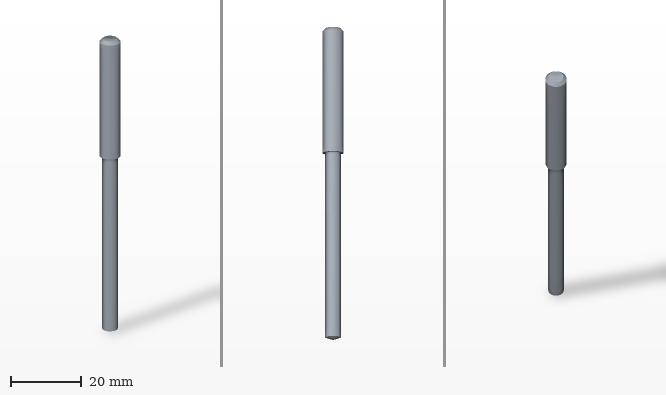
import cadquery as cq
import math

total_length = 90.0
shank_diameter = 6.0
shank_length = 36.0
shank_chamfer = 0.9
drill_diameter = 4.4
cutting_length = 36.7
point_angle = 140.0

shank_radius = shank_diameter / 2
drill_radius = drill_diameter / 2
shank_bottom = total_length - shank_length
point_height = drill_radius / math.tan(math.radians(point_angle / 2))


def make_cutting_part():
    """Cylindrical cutting envelope ending in a conical drill point."""
    half_profile = (
        cq.Workplane("XZ")
        .moveTo(0, 0)
        .lineTo(drill_radius, point_height)
        .lineTo(drill_radius, cutting_length)
        .lineTo(0, cutting_length)
        .close()
    )
    return half_profile.revolve(360, (0, 0), (0, 1))


def make_shank():
    """Neck of drill diameter below a thicker shank with a chamfered end."""
    neck = (
        cq.Workplane("XY")
        .workplane(offset=cutting_length)
        .circle(drill_radius)
        .extrude(shank_bottom - cutting_length)
    )
    grip = (
        cq.Workplane("XY")
        .workplane(offset=shank_bottom)
        .circle(shank_radius)
        .extrude(shank_length)
        .faces(">Z")
        .chamfer(shank_chamfer)
    )
    return neck.union(grip)


cutting_part = make_cutting_part()
shank = make_shank()

result = cq.Compound.makeCompound([cutting_part.val(), shank.val()])